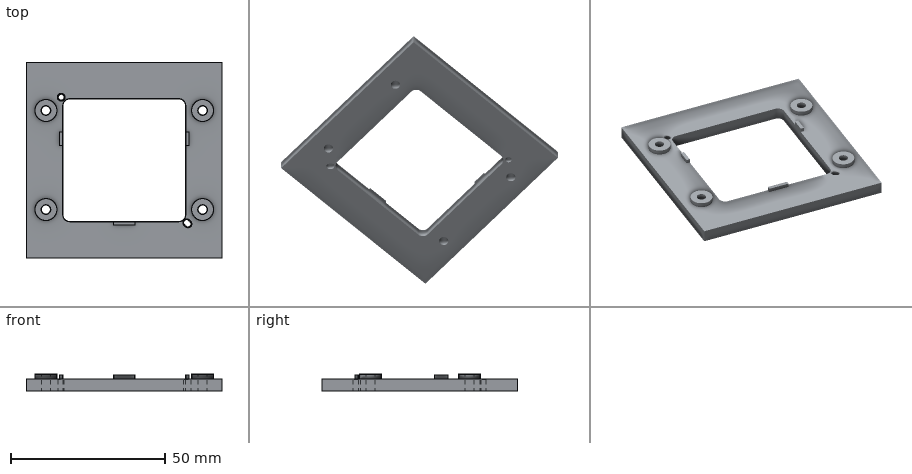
import cadquery as cq

plate_side = 63.5
plate_thickness = 4.0
window_side = 39.75
window_corner_radius = 2.15

spacer_diameter = 7.1
spacer_height = 1.5
screw_hole_diameter = 3.0
spacer_spacing_x = 50.8
spacer_spacing_y = 32.1
spacer_center_y = 0.05

tab_height = 1.3
tab_width = 1.15
side_tab_length = 4.45
side_tab_y = 7.0
front_tab_length = 6.85

pin_hole_offset = 20.45
pin_hole_diameter = 2.0
pin_hole_chamfer = 0.25
chamfer_angle = 45
pin_slot_travel = 0.65
pin_slot_angle = -45


def edge_tab(length_x, length_y, center_x, center_y):
    """Tab rising from the plate's top face."""
    return (
        cq.Workplane("XY", origin=(center_x, center_y, plate_thickness))
        .rect(length_x, length_y)
        .extrude(tab_height)
    )


def pin_outline(diameter, slot_travel, height):
    """Circle, or diagonal slot when there is travel, at the given height."""
    plane = cq.Workplane("XY", origin=(0, 0, height))
    if slot_travel == 0:
        return plane.circle(diameter / 2)
    return plane.slot2D(diameter + slot_travel, diameter, pin_slot_angle)


def pin_hole(slot_travel, center_x, center_y):
    """Cutter for a through hole chamfered at the plate's top face."""
    mouth_diameter = pin_hole_diameter + 2 * pin_hole_chamfer
    bore = pin_outline(pin_hole_diameter, slot_travel, 0).extrude(plate_thickness)
    mouth = pin_outline(mouth_diameter, slot_travel, plate_thickness)
    chamfer = mouth.extrude(-pin_hole_chamfer, taper=chamfer_angle)
    return bore.union(chamfer).translate((center_x, center_y, 0))


plate = cq.Workplane("XY").rect(plate_side, plate_side).extrude(plate_thickness)
window = (
    cq.Workplane("XY")
    .rect(window_side, window_side)
    .extrude(plate_thickness)
    .edges("|Z")
    .fillet(window_corner_radius)
)
result = plate.cut(window)

spacer_centers = (
    cq.Workplane("XY")
    .center(0, spacer_center_y)
    .rect(spacer_spacing_x, spacer_spacing_y, forConstruction=True)
    .vertices()
)
spacer_top = plate_thickness + spacer_height
result = result.union(spacer_centers.circle(spacer_diameter / 2).extrude(spacer_top))
result = result.cut(spacer_centers.circle(screw_hole_diameter / 2).extrude(spacer_top))

tab_offset = (window_side + tab_width) / 2
for side in (-1, 1):
    result = result.union(edge_tab(tab_width, side_tab_length, side * tab_offset, side_tab_y))
result = result.union(edge_tab(front_tab_length, tab_width, 0, -tab_offset))

result = result.cut(pin_hole(0, -pin_hole_offset, pin_hole_offset))
result = result.cut(pin_hole(pin_slot_travel, pin_hole_offset, -pin_hole_offset))